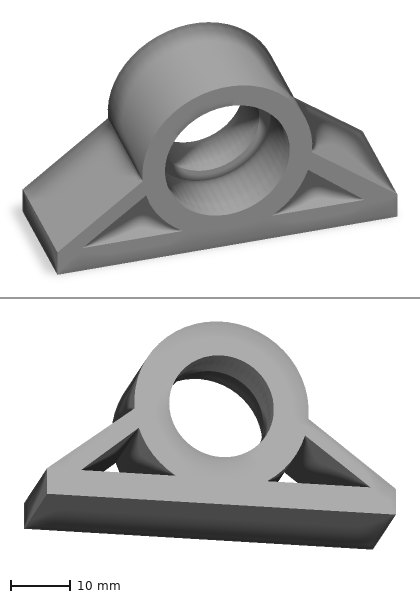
import cadquery as cq

width = 20.0
length = 60.0
height = 32.35
base_thickness = 4.55

ring_diameter = 30.0
bore_diameter = 18.0
seat_diameter = 22.0
bore_depth = 9.0
ring_radius = ring_diameter / 2
axis_height = height - ring_radius

strut_top_height = 16.0
left_window = {"tip": 24.2, "apex_y": 14.2, "apex_z": 12.65}
right_window = {"tip": -25.6, "apex_y": -14.4, "apex_z": 13.0}


def cylinder(diameter, start, depth):
    """Cylinder about the ring axis, running in +X from the given start."""
    return (
        cq.Workplane("YZ", origin=(start, 0, axis_height))
        .circle(diameter / 2)
        .extrude(depth)
    )


def window(tip, apex_y, apex_z):
    """Through wedge from the strut's underside to the ring centre line."""
    return (
        cq.Workplane("YZ")
        .moveTo(tip, base_thickness)
        .lineTo(apex_y, apex_z)
        .lineTo(0, axis_height)
        .lineTo(0, base_thickness)
        .close()
        .extrude(width)
    )

body = (
    cq.Workplane("YZ")
    .moveTo(-length / 2, 0)
    .lineTo(length / 2, 0)
    .lineTo(length / 2, base_thickness)
    .lineTo(ring_radius, strut_top_height)
    .lineTo(-ring_radius, strut_top_height)
    .lineTo(-length / 2, base_thickness)
    .close()
    .extrude(width)
)

body = body.cut(window(**left_window)).cut(window(**right_window))
body = body.union(cylinder(ring_diameter, 0, width))

body = body.cut(cylinder(bore_diameter, 0, width))
result = body.cut(cylinder(seat_diameter, bore_depth, width - bore_depth))